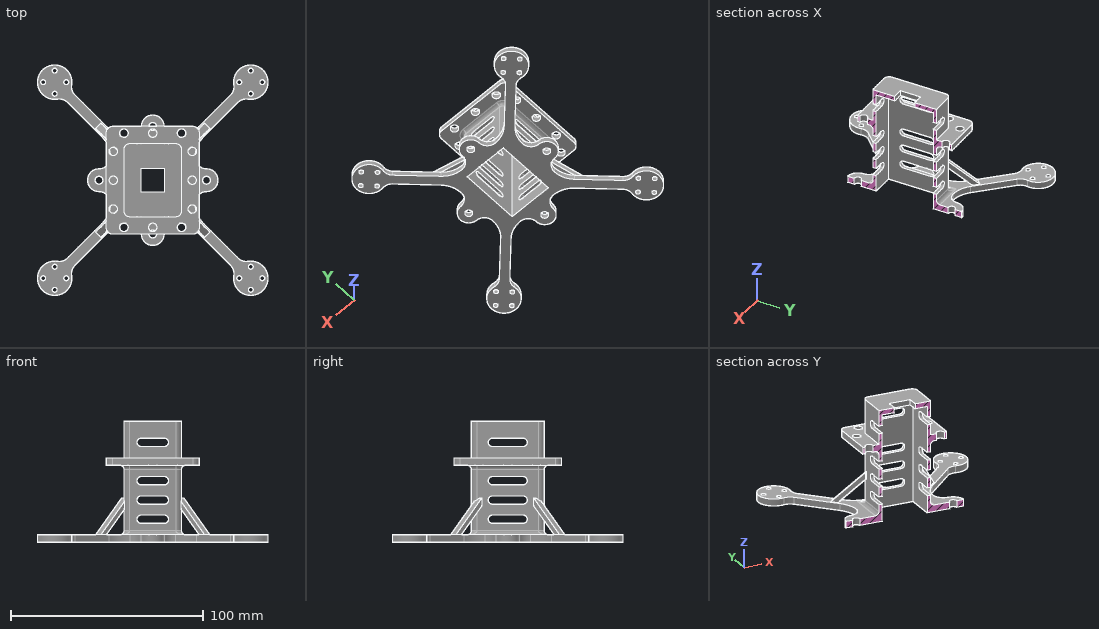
import cadquery as cq
import math

total_height = 63.0
plate_thickness = 4.0

hub_half = 22.1
lug_distance = 28.0
lug_radius = 6.0
lug_hole_diameter = 4.0
lug_root_radius = lug_distance - hub_half
arm_width = 5.5
arm_neck_radius = 6.0
pad_offset = 51.0
pad_radius = 9.0
pad_hole_offset = 6.0
pad_hole_diameter = 2.4

tower_length_x = 30.0
tower_length_y = 38.0
tower_corner_radius = 3.0
tower_wall = 2.0
tower_blend = 2.0
roof_thickness = 3.0
roof_opening = 12.0

flange_length_x = 48.5
flange_length_y = 56.2
flange_corner_radius = 3.4
flange_bottom = 40.0
flange_hole_diameter = 4.3
flange_hole_x = 20.5
flange_hole_y = 24.5
flange_hole_pitch = 15.0

slot_height = 4.2
slot_levels = (12.0, 22.0, 32.0, 52.0)
slot_length_on_x = 16.3
slot_length_on_y = 20.2

brace_width = 4.0
brace_foot = 40.1
brace_end = 20.9
brace_run = 4.1
selection_margin = 0.1


def frame_eighth():
    """Outline points from the +X lug tip to the motor pad tip on the diagonal.

    Every second point lies midway along the arc or line joining its neighbours.
    """
    diagonal = math.sqrt(0.5)
    half_arm = arm_width / 2
    eighth = math.pi / 4

    def from_pad(inward, sideways):
        """Point measured from the pad centre along the arm and across it."""
        return (
            pad_offset + (sideways - inward) * diagonal,
            pad_offset - (sideways + inward) * diagonal,
        )

    def on_circle(center, radius, angle):
        return (center[0] + radius * math.cos(angle), center[1] + radius * math.sin(angle))

    lug_tip = (lug_distance + lug_radius, 0)
    lug_middle = on_circle((lug_distance, 0), lug_radius, eighth)
    lug_side = (lug_distance, lug_radius)
    root_center = (lug_distance, lug_radius + lug_root_radius)
    root_middle = on_circle(root_center, lug_root_radius, -3 * eighth)
    root_end = (hub_half, root_center[1])

    arm_corner_y = hub_half - half_arm / diagonal
    tangent_length = arm_corner_y - root_end[1]
    blend_radius = tangent_length / math.tan(eighth / 2)
    blend_center = (hub_half + blend_radius, root_end[1])
    blend_middle = on_circle(blend_center, blend_radius, math.pi - eighth / 2)
    blend_end = on_circle(blend_center, blend_radius, math.pi - eighth)

    neck_offset = half_arm + arm_neck_radius
    neck_reach = pad_radius + arm_neck_radius
    neck_inward = math.sqrt(neck_reach**2 - neck_offset**2)
    neck_angle = math.atan2(neck_offset, neck_inward)
    neck_half_turn = (math.pi / 2 - neck_angle) / 2
    neck_start = from_pad(neck_inward, half_arm)
    neck_middle = from_pad(
        neck_inward - arm_neck_radius * math.sin(neck_half_turn),
        neck_offset - arm_neck_radius * math.cos(neck_half_turn),
    )
    neck_end = from_pad(pad_radius * math.cos(neck_angle), pad_radius * math.sin(neck_angle))
    pad_side = from_pad(0, pad_radius)
    pad_tip = from_pad(-pad_radius, 0)

    arm_middle = ((blend_end[0] + neck_start[0]) / 2, (blend_end[1] + neck_start[1]) / 2)
    return [
        lug_tip, lug_middle, lug_side,
        root_middle, root_end,
        blend_middle, blend_end,
        arm_middle, neck_start,
        neck_middle, neck_end,
        pad_side, pad_tip,
    ]


def base_frame():
    """Frame outline: one eighth mirrored about the diagonal, then repeated every 90 degrees."""
    eighth = frame_eighth()
    mirrored = [(y, x) for x, y in reversed(eighth)]
    quarter = eighth + mirrored[1:]
    arm_piece = 7
    straight_pieces = (arm_piece, len(quarter) - 1 - arm_piece)
    outline = cq.Workplane("XY").moveTo(*quarter[0])
    for _ in range(4):
        for place in range(1, len(quarter), 2):
            if place in straight_pieces:
                outline = outline.lineTo(*quarter[place + 1])
            else:
                outline = outline.threePointArc(quarter[place], quarter[place + 1])
        quarter = [(-y, x) for x, y in quarter]
    return outline.close().extrude(plate_thickness)


def flange():
    return (
        cq.Workplane("XY", origin=(0, 0, flange_bottom))
        .rect(flange_length_x, flange_length_y)
        .extrude(plate_thickness)
        .edges("|Z")
        .fillet(flange_corner_radius)
    )


def tower_edges(bottom, top):
    """Select edges centred on or in the tower between two heights."""
    reach_x = tower_length_x / 2 + selection_margin
    reach_y = tower_length_y / 2 + selection_margin
    return cq.selectors.BoxSelector(
        (-reach_x, -reach_y, bottom - selection_margin),
        (reach_x, reach_y, top + selection_margin),
    )


def frame_with_tower():
    """Base frame and solid tower, blended at the foot and rounded at the corners.

    The foot is blended while the corners are still sharp, so that the corner
    rounding runs down the mitres and fades out on the base.
    """
    tower = cq.Workplane("XY").rect(tower_length_x, tower_length_y).extrude(total_height)
    body = base_frame().union(tower)
    body = body.edges(tower_edges(plate_thickness, plate_thickness)).fillet(tower_blend)
    foot_top = plate_thickness + tower_blend
    corners = body.edges(tower_edges(foot_top, total_height)).edges("|Z")
    return corners.fillet(tower_corner_radius)


def brace():
    """Brace in the XZ plane, running from the base up toward the tower."""
    rise = brace_foot - brace_end
    base_top = plate_thickness
    return (
        cq.Workplane("XZ")
        .moveTo(brace_foot, base_top)
        .lineTo(brace_end, base_top + rise)
        .lineTo(brace_end, base_top + rise - brace_run)
        .lineTo(brace_foot - brace_run, base_top)
        .close()
        .extrude(brace_width / 2, both=True)
    )


def slots(plane, length, depth):
    """Row of slots cut right through the tower, one at each level."""
    return (
        cq.Workplane(plane)
        .pushPoints([(0, level) for level in slot_levels])
        .slot2D(length, slot_height)
        .extrude(depth, both=True)
    )


def drill(points, diameter, bottom):
    """Cutters through one plate thickness."""
    return (
        cq.Workplane("XY", origin=(0, 0, bottom))
        .pushPoints(points)
        .circle(diameter / 2)
        .extrude(plate_thickness)
    )


body = frame_with_tower().union(flange())
body = body.edges(tower_edges(flange_bottom, flange_bottom)).fillet(tower_blend)
for angle in (45, 135, 225, 315):
    body = body.union(brace().rotate((0, 0, 0), (0, 0, 1), angle))

cavity_x = tower_length_x - 2 * tower_wall
cavity_y = tower_length_y - 2 * tower_wall
body = body.cut(cq.Workplane("XY").rect(cavity_x, cavity_y).extrude(total_height - roof_thickness))
body = body.cut(cq.Workplane("XY").rect(roof_opening, roof_opening).extrude(total_height))

body = body.cut(slots("XZ", slot_length_on_x, tower_length_y))
body = body.cut(slots("YZ", slot_length_on_y, tower_length_x))

lug_points = [(lug_distance, 0), (-lug_distance, 0), (0, lug_distance), (0, -lug_distance)]
body = body.cut(drill(lug_points, lug_hole_diameter, 0))

pad_points = []
for pad_x in (-pad_offset, pad_offset):
    for pad_y in (-pad_offset, pad_offset):
        pad_points += [(pad_x + step, pad_y) for step in (-pad_hole_offset, pad_hole_offset)]
        pad_points += [(pad_x, pad_y + step) for step in (-pad_hole_offset, pad_hole_offset)]
body = body.cut(drill(pad_points, pad_hole_diameter, 0))

flange_points = []
for step in (-flange_hole_pitch, 0, flange_hole_pitch):
    flange_points += [(step, side) for side in (-flange_hole_y, flange_hole_y)]
    flange_points += [(side, step) for side in (-flange_hole_x, flange_hole_x)]
body = body.cut(drill(flange_points, flange_hole_diameter, flange_bottom))

result = body